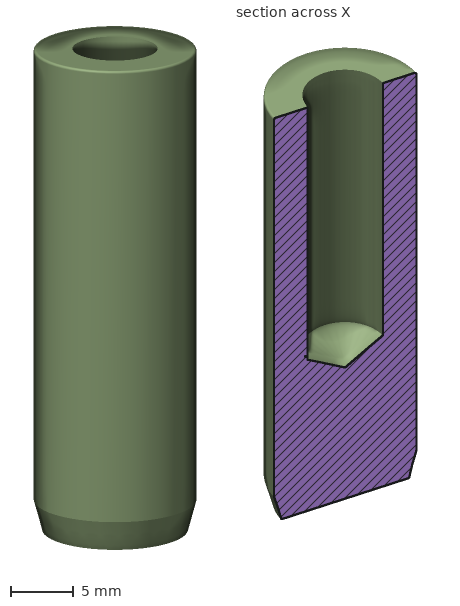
import cadquery as cq
import math

PIN_DIAMETER = 13.0
PIN_LENGTH = 40.0

TAPER_HEIGHT = 2.5
TAPER_ANGLE = 15.0

TOP_EDGE_RADIUS = 0.2

HOLE_DIAMETER = 6.8
HOLE_DEPTH = 25.0
DRILL_POINT_ANGLE = 120.0

PIN_RADIUS = PIN_DIAMETER / 2
HOLE_RADIUS = HOLE_DIAMETER / 2


def pin_body():
    """Solid pin standing on Z = 0, tapered at the bottom and rounded at the top edge."""
    bottom_radius = PIN_RADIUS - TAPER_HEIGHT * math.tan(math.radians(TAPER_ANGLE))
    half_profile = (
        cq.Workplane("XZ")
        .lineTo(bottom_radius, 0)
        .lineTo(PIN_RADIUS, TAPER_HEIGHT)
        .lineTo(PIN_RADIUS, PIN_LENGTH)
        .lineTo(0, PIN_LENGTH)
        .close()
    )
    body = half_profile.revolve(360, (0, 0), (0, 1))
    return body.faces(">Z").edges().fillet(TOP_EDGE_RADIUS)


def drilled_hole():
    """Volume removed by the blind hole, including its conical bottom."""
    wall_end = PIN_LENGTH - HOLE_DEPTH
    point_depth = HOLE_RADIUS / math.tan(math.radians(DRILL_POINT_ANGLE / 2))
    half_profile = (
        cq.Workplane("XZ")
        .moveTo(0, wall_end - point_depth)
        .lineTo(HOLE_RADIUS, wall_end)
        .lineTo(HOLE_RADIUS, PIN_LENGTH)
        .lineTo(0, PIN_LENGTH)
        .close()
    )
    return half_profile.revolve(360, (0, 0), (0, 1))


result = pin_body().cut(drilled_hole())